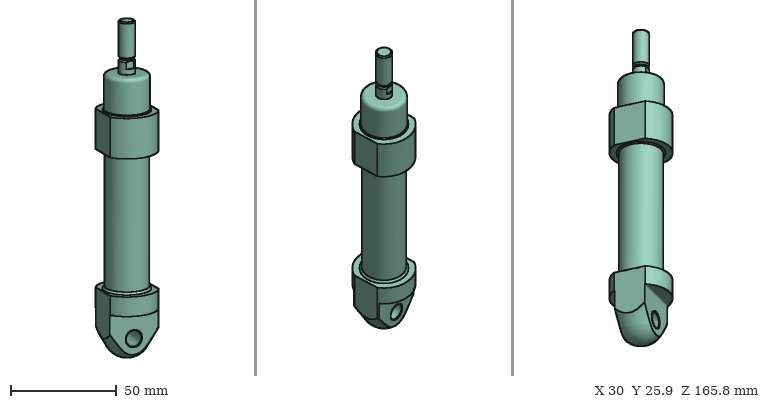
import cadquery as cq
import math

total_height = 165.8

tube_diameter = 21.2
head_diameter = 22.0
head_top = 140.0
head_fillet = 2.0
collar_diameter = 30.0
front_flat = 12.6
back_flat = 13.3
upper_collar_bottom = 101.8
upper_collar_top = 121.7
lower_collar_bottom = 24.2
lower_collar_top = 33.8
shoulder_diameter = 23.2
upper_shoulder_height = 0.5
lower_shoulder_height = 1.2

lug_width = 15.6
lug_fillet = 0.8
dome_radius = 11.1
cone_angle = 60.0
pivot_diameter = 8.0
pivot_mouth_diameter = 8.6
pivot_height = dome_radius

rod_diameter = 8.0
neck_diameter = 6.5
thread_bottom = 148.2
neck_top = 147.4
neck_bottom = 146.9
rod_shoulder = 146.0
thread_chamfer = 0.7
wrench_width = 7.0
wrench_bottom = 142.8


def cylinder(diameter, bottom, top):
    return cq.Workplane("XY").workplane(offset=bottom).circle(diameter / 2).extrude(top - bottom)


def shoulder(start_diameter, start, end_diameter, end):
    """Short conical step between two heights."""
    return (
        cq.Workplane("XZ")
        .moveTo(0, start)
        .lineTo(start_diameter / 2, start)
        .lineTo(end_diameter / 2, end)
        .lineTo(0, end)
        .close()
        .revolve(360, (0, 0), (0, 1))
    )


def make_collar(bottom, top):
    """Round collar with a flat on the front and on the back."""
    flats = cq.Workplane("XY").box(
        collar_diameter, front_flat + back_flat, top - bottom, centered=(True, False, False)
    ).translate((0, -front_flat, bottom))
    return cylinder(collar_diameter, bottom, top).intersect(flats)


def make_domed_envelope():
    """Sphere that runs tangentially into a cone, then into the collar cylinder."""
    angle = math.radians(cone_angle)
    tangent_radius = dome_radius * math.sin(angle)
    tangent_height = dome_radius * (1 - math.cos(angle))
    collar_radius = collar_diameter / 2
    cone_top = tangent_height + (collar_radius - tangent_radius) * math.tan(angle)
    arc_middle = (dome_radius * math.sin(angle / 2), dome_radius * (1 - math.cos(angle / 2)))
    return (
        cq.Workplane("XZ")
        .threePointArc(arc_middle, (tangent_radius, tangent_height))
        .lineTo(collar_radius, cone_top)
        .lineTo(collar_radius, lower_collar_top)
        .lineTo(0, lower_collar_top)
        .close()
        .revolve(360, (0, 0), (0, 1))
    )


def make_lug_profile():
    """Tongue below the collar, widening into it with a fillet on each side."""
    half_width = lug_width / 2
    fillet_bottom = lower_collar_bottom - lug_fillet
    return (
        cq.Workplane("XZ")
        .moveTo(-half_width, 0)
        .lineTo(half_width, 0)
        .lineTo(half_width, fillet_bottom)
        .radiusArc((half_width + lug_fillet, lower_collar_bottom), lug_fillet)
        .lineTo(collar_diameter / 2, lower_collar_bottom)
        .lineTo(collar_diameter / 2, lower_collar_top)
        .lineTo(-collar_diameter / 2, lower_collar_top)
        .lineTo(-collar_diameter / 2, lower_collar_bottom)
        .lineTo(-half_width - lug_fillet, lower_collar_bottom)
        .radiusArc((-half_width, fillet_bottom), lug_fillet)
        .close()
        .extrude(collar_diameter / 2, both=True)
    )


def make_rear_end():
    """Lower collar and lug in one piece, with the chamfered pivot hole along X."""
    flatted_blank = make_domed_envelope().intersect(make_collar(0, lower_collar_top))
    pivot_hole = (
        cq.Workplane("YZ")
        .center(0, pivot_height)
        .circle(pivot_diameter / 2)
        .extrude(collar_diameter / 2, both=True)
    )
    rear_end = flatted_blank.intersect(make_lug_profile()).cut(pivot_hole)
    mouth_chamfer = (pivot_mouth_diameter - pivot_diameter) / 2
    for side in (-1, 1):
        mouth = cq.Solid.makeCone(
            pivot_mouth_diameter / 2,
            pivot_diameter / 2,
            mouth_chamfer,
            pnt=cq.Vector(side * lug_width / 2, 0, pivot_height),
            dir=cq.Vector(-side, 0, 0),
        )
        rear_end = rear_end.cut(cq.Workplane(mouth))
    return rear_end


def make_housing():
    head = cylinder(head_diameter, upper_collar_top, head_top).faces(">Z").edges().fillet(head_fillet)
    tube = cylinder(tube_diameter, lower_collar_top, upper_collar_bottom)
    above_head_collar = shoulder(
        shoulder_diameter, upper_collar_top, head_diameter, upper_collar_top + upper_shoulder_height
    )
    below_head_collar = shoulder(
        tube_diameter, upper_collar_bottom - upper_shoulder_height, shoulder_diameter, upper_collar_bottom
    )
    above_rear_collar = shoulder(
        shoulder_diameter, lower_collar_top, tube_diameter, lower_collar_top + lower_shoulder_height
    )
    return (
        make_rear_end()
        .union(above_rear_collar)
        .union(tube)
        .union(below_head_collar)
        .union(make_collar(upper_collar_bottom, upper_collar_top))
        .union(above_head_collar)
        .union(head)
    )


def make_rod():
    """Rod standing on the head, with wrench flats, a relief neck and a threaded end."""
    rod_radius = rod_diameter / 2
    neck_radius = neck_diameter / 2
    rod = (
        cq.Workplane("XZ")
        .moveTo(0, head_top)
        .lineTo(rod_radius, head_top)
        .lineTo(rod_radius, rod_shoulder)
        .lineTo(neck_radius, neck_bottom)
        .lineTo(neck_radius, neck_top)
        .lineTo(rod_radius, thread_bottom)
        .lineTo(rod_radius, total_height - thread_chamfer)
        .lineTo(rod_radius - thread_chamfer, total_height)
        .lineTo(0, total_height)
        .close()
        .revolve(360, (0, 0), (0, 1))
    )
    flat_depth = (rod_diameter - wrench_width) / 2
    for side in (-1, 1):
        flat = cq.Workplane("XY").box(
            flat_depth, rod_diameter, neck_bottom - wrench_bottom, centered=(True, True, False)
        ).translate((side * (wrench_width + flat_depth) / 2, 0, wrench_bottom))
        rod = rod.cut(flat)
    return rod


housing = make_housing()
rod = make_rod()

result = cq.Compound.makeCompound([housing.val(), rod.val()])